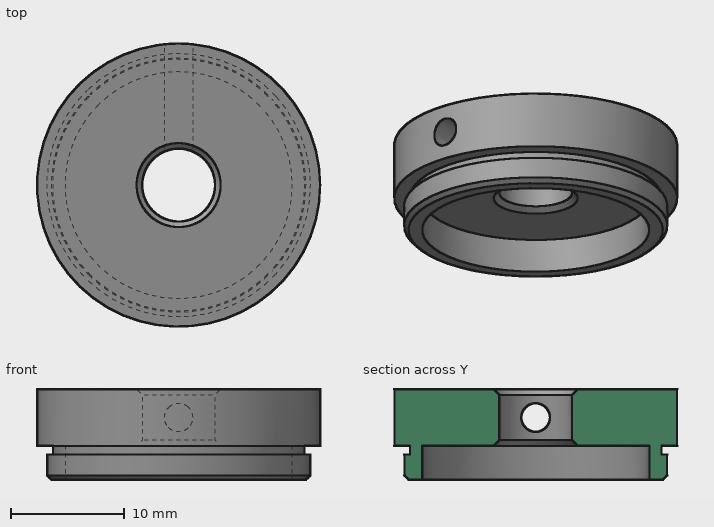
import cadquery as cq

total_height = 8.0
flange_height = 5.0
groove_height = 0.75
flange_bottom = total_height - flange_height
groove_bottom = flange_bottom - groove_height

flange_diameter = 24.95
spigot_diameter = 23.2
groove_diameter = 22.2
spigot_chamfer = 0.4

bore_diameter = 6.4
bore_chamfer = 0.5

recess_diameter = 20.0
recess_depth = flange_bottom

screw_hole_diameter = 2.5
screw_hole_height = flange_bottom + flange_height / 2


def make_disc(diameter, bottom, height):
    """Solid cylinder on the Z axis, standing on the given height."""
    return cq.Workplane("XY").workplane(offset=bottom).circle(diameter / 2).extrude(height)


def make_body():
    """Flange, groove neck and chamfered spigot stacked on the Z axis."""
    spigot = make_disc(spigot_diameter, 0, groove_bottom)
    spigot = spigot.faces("<Z").edges().chamfer(spigot_chamfer)
    neck = make_disc(groove_diameter, groove_bottom, groove_height)
    flange = make_disc(flange_diameter, flange_bottom, flange_height)
    return spigot.union(neck).union(flange)


def make_bore():
    """Bore from the recess to the top face with a conical lead-in at each end."""
    bore_radius = bore_diameter / 2
    rim_radius = bore_radius + bore_chamfer
    return (
        cq.Workplane("XZ")
        .moveTo(0, recess_depth)
        .lineTo(rim_radius, recess_depth)
        .lineTo(bore_radius, recess_depth + bore_chamfer)
        .lineTo(bore_radius, total_height - bore_chamfer)
        .lineTo(rim_radius, total_height)
        .lineTo(0, total_height)
        .close()
        .revolve(360, (0, 0, 0), (0, 1, 0))
    )


def make_screw_hole():
    """Radial hole running from the bore axis out along +Y."""
    return (
        cq.Workplane("XZ")
        .center(0, screw_hole_height)
        .circle(screw_hole_diameter / 2)
        .extrude(-flange_diameter)
    )


recess = make_disc(recess_diameter, 0, recess_depth)
result = make_body().cut(recess).cut(make_bore()).cut(make_screw_hole())